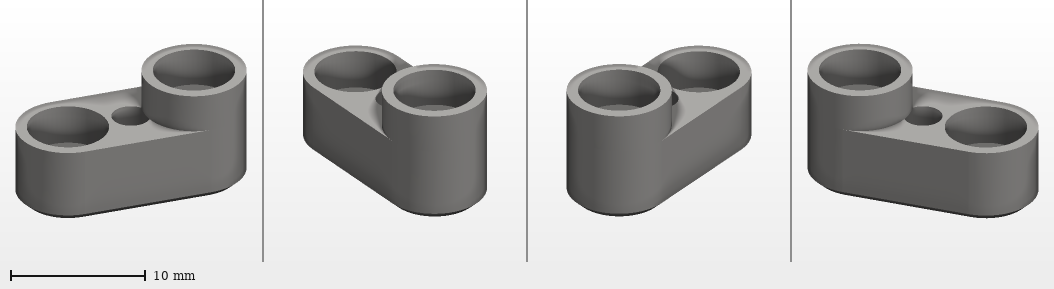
import cadquery as cq

length = 17.7
width = 7.8
base_height = 5.91
total_height = 8.9
end_offset = (length - width) / 2

cup_diameter = 6.1
raised_cup_depth = total_height - base_height
low_cup_depth = 3.1
centre_hole_diameter = 2.9

bevel_height = 0.58
bevel_inset = 0.62


def make_base():
    """Obround base with its bottom edge bevelled all round."""
    upper = (
        cq.Workplane("XY").workplane(offset=bevel_height)
        .slot2D(length, width, 90)
        .extrude(base_height - bevel_height)
    )
    foot = (
        cq.Workplane("XY")
        .slot2D(length - 2 * bevel_inset, width - 2 * bevel_inset, 90)
        .workplane(offset=bevel_height)
        .slot2D(length, width, 90)
        .loft(ruled=True)
    )
    return upper.union(foot)


def make_cup_pocket(y, rim_height, depth):
    """Flat-bottomed round pocket opening upward at rim_height."""
    return (
        cq.Workplane("XY", origin=(0, y, rim_height))
        .circle(cup_diameter / 2)
        .extrude(-depth)
    )


raised_cup = (
    cq.Workplane("XY", origin=(0, end_offset, bevel_height))
    .circle(width / 2)
    .extrude(total_height - bevel_height)
)

centre_hole = cq.Workplane("XY").circle(centre_hole_diameter / 2).extrude(base_height)

result = (
    make_base()
    .union(raised_cup)
    .cut(centre_hole)
    .cut(make_cup_pocket(end_offset, total_height, raised_cup_depth))
    .cut(make_cup_pocket(-end_offset, base_height, low_cup_depth))
    .clean()
)